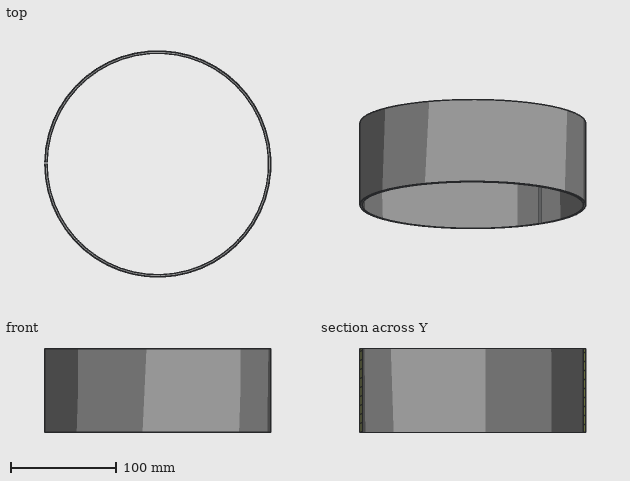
import cadquery as cq

outer_diameter = 215.0
wall_thickness = 2.5
height = 80.0

outer_rim_chamfer = 0.5
inner_rim_chamfer = 0.2

gap_angle = 1.0

mean_radius = (outer_diameter - wall_thickness) / 2


def make_wall_profile():
    """Cross-section of the wall on the -X side, with bevelled corners."""
    wall = cq.Sketch().push([(-mean_radius, height / 2)]).rect(wall_thickness, height).reset()
    wall = wall.edges("<X").vertices().chamfer(outer_rim_chamfer).reset()
    return wall.edges(">X").vertices().chamfer(inner_rim_chamfer)


def make_split_ring():
    """Wall profile swept around the Z axis, stopping short of a full turn."""
    profile = cq.Workplane("XZ").placeSketch(make_wall_profile())
    return profile.revolve(360.0 - gap_angle, (0, 0), (0, 1))


result = make_split_ring()